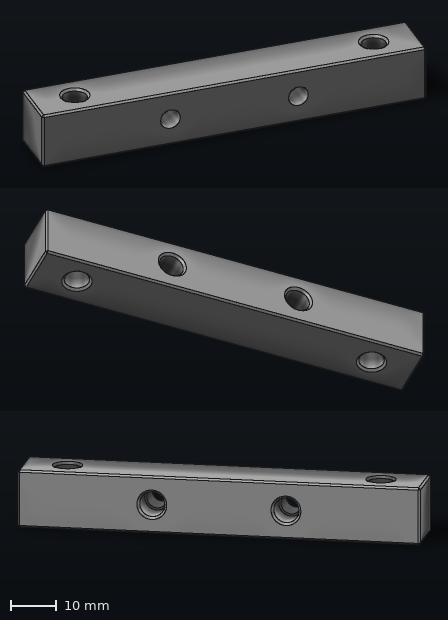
import cadquery as cq

length = 90
side = 13.0
edge_chamfer = 0.45

bore_diameter = 5.6
countersink_diameter = 6.7
countersink_depth = (countersink_diameter - bore_diameter) / 2

end_hole_spacing = 70.0

side_hole_spacing = 30.0
step_diameter = 4.6
step_depth = side / 2


def bore(depth):
    """Cutter running up from Z = 0, countersunk at its lower end."""
    cylinder = cq.Workplane("XY").circle(bore_diameter / 2).extrude(depth)
    countersink = (
        cq.Workplane("XY")
        .circle(countersink_diameter / 2)
        .extrude(countersink_depth, taper=45)
    )
    return cylinder.union(countersink)


def end_hole():
    """Vertical cutter through the bar, made of two mirrored half bores."""
    lower_half = bore(side / 2).translate((0, 0, -side / 2))
    return lower_half.union(lower_half.mirror("XY"))


def side_hole():
    """Stepped cutter along X that starts at the -X face."""
    through = cq.Workplane("XY").circle(step_diameter / 2).extrude(side)
    stepped = bore(step_depth).union(through)
    return stepped.rotate((0, 0, 0), (0, 1, 0), 90).translate((-side / 2, 0, 0))


result = cq.Workplane("XY").box(length=side, width=length, height=side).edges().chamfer(edge_chamfer)

for direction in (-1, 1):
    result = result.cut(end_hole().translate((0, direction * end_hole_spacing / 2, 0)))
    result = result.cut(side_hole().translate((0, direction * side_hole_spacing / 2, 0)))